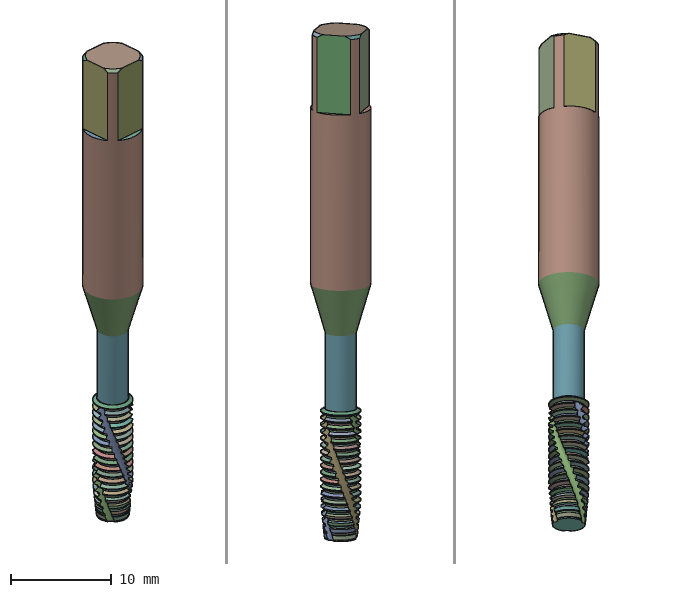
import cadquery as cq
import math

thread_length = 13.0
neck_length = 8.0
cone_length = 5.0
shank_length = 18.0
square_length = 8.0

cone_start = thread_length + neck_length
shank_start = cone_start + cone_length
square_start = shank_start + shank_length
overall_length = square_start + square_length

shank_radius = 6.0 / 2
neck_radius = 3.1 / 2
square_across_flats = 4.9
square_end_chamfer = 0.3

crest_radius = 4.0 / 2
root_radius = 3.242 / 2
pitch = 0.7
crest_flat = pitch / 8
root_flat = pitch / 4
crest_to_root = (pitch - root_flat) / 2
thread_top = thread_length + crest_to_root
ridge_count = math.ceil(thread_top / pitch) + 1

lead_in_length = 3.6
tip_radius = 3.3 / 2

flute_count = 3
flute_floor_radius = 1.45
flute_radius = 0.5
flute_center_radius = flute_floor_radius + flute_radius
flute_length = thread_length - crest_to_root
flute_lead = 29.0
flute_angle_at_tip = 309.0


def revolve_about_z(points):
    """Solid of revolution about Z from an outline of (radius, height) points."""
    return cq.Workplane("XZ").polyline(points).close().revolve(360, (0, 0, 0), (0, 1, 0))


def make_shank():
    """Neck, cone and round shank, with a driving square cut at the upper end."""
    body = revolve_about_z([
        (0, thread_top),
        (neck_radius, thread_top),
        (neck_radius, cone_start),
        (shank_radius, shank_start),
        (shank_radius, overall_length - square_end_chamfer),
        (shank_radius - square_end_chamfer, overall_length),
        (0, overall_length),
    ])
    around_square = (
        cq.Workplane("XY", origin=(0, 0, square_start))
        .rect(3 * shank_radius, 3 * shank_radius)
        .rect(square_across_flats, square_across_flats)
        .extrude(square_length)
    )
    return body.cut(around_square)


def make_tapered_blank():
    """Thread envelope: a cylinder with the lead-in taper at the tip."""
    return revolve_about_z([
        (0, 0),
        (tip_radius, 0),
        (crest_radius, lead_in_length),
        (crest_radius, thread_top),
        (0, thread_top),
    ])


def make_rings():
    """Straight ringed body, with one ridge per pitch, that reaches past the tip."""
    points = [(0, thread_top)]
    for index in range(ridge_count):
        middle = thread_length - index * pitch
        points += [
            (root_radius, middle + crest_to_root),
            (crest_radius, middle + crest_flat / 2),
            (crest_radius, middle - crest_flat / 2),
            (root_radius, middle - crest_to_root),
        ]
    lowest_crest = thread_length - (ridge_count - 1) * pitch
    points.append((0, lowest_crest - crest_to_root))
    return revolve_about_z(points)


def make_flute(start_angle):
    """Round helical groove cutter; the angle is its place about Z at the tip."""
    return (
        cq.Workplane("XY")
        .pushPoints([(flute_center_radius, 0)])
        .circle(flute_radius)
        .twistExtrude(flute_length, -360 * flute_length / flute_lead)
        .rotate((0, 0, 0), (0, 0, 1), start_angle)
    )


def make_thread():
    """Ringed cutting end with flutes from the tip up to the top ring."""
    body = make_tapered_blank().intersect(make_rings())
    for index in range(flute_count):
        body = body.cut(make_flute(flute_angle_at_tip + index * 360 / flute_count))
    return body


shank = make_shank()
thread = make_thread()

result = cq.Compound.makeCompound([shank.val(), thread.val()])